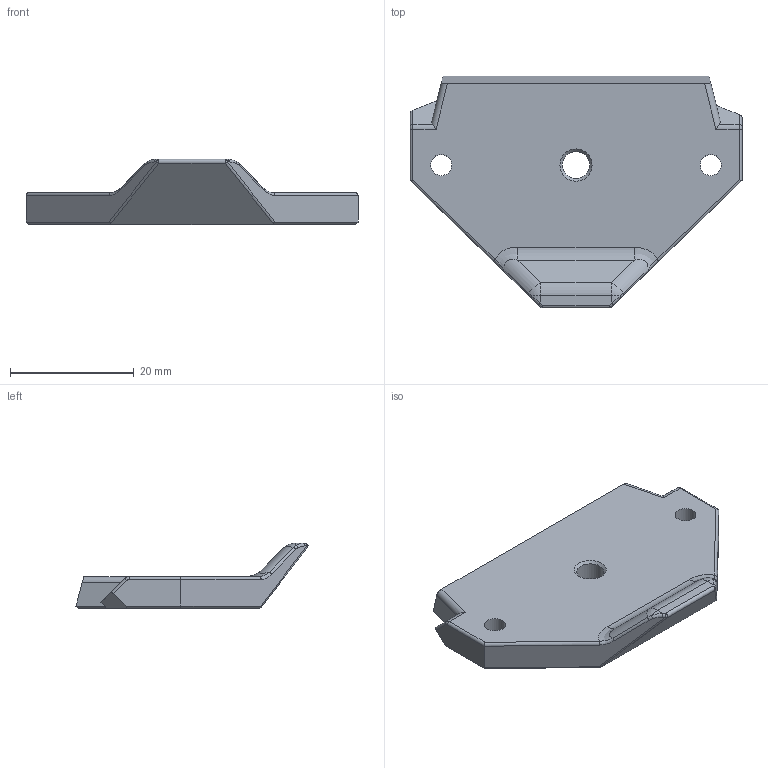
import cadquery as cq
import math

half_width = 26.795
plate_thickness = 5.2
total_height = 10.6
far = 60.0

shoulder_y = -2.55
diagonal_angle = 44.0
tip_y = -24.5

front_foot_y = -15.3
front_angle = 52.15

lip_foot_y = -14.48
lip_foot_half_width = 12.37
lip_radius = 3.0

back_foot_y = 14.5
back_lean = 15.0
wall_lean = 14.0
wall_foot_half_width = 23.4
wall_foot_y = 6.6
block_front_y = 0.0
notch_radius = 1.0

wing_slope_y = 11.43
wing_back_y = 10.6
undercut_skew = 0.8
undercut_left_y = 5.85
undercut_right_y = 4.5

top_edge_radius = 0.45
bottom_chamfer = 0.45

hole_pitch = 43.5
side_hole_diameter = 3.4
center_hole_diameter = 4.4
center_chamfer = 0.4

front_run = total_height / math.tan(math.radians(front_angle))


def profile_yz(points, half_length):
    """Prism along X, symmetric about X = 0, from (Y, Z) points."""
    return cq.Workplane("YZ").polyline(points).close().extrude(half_length, both=True)


def make_wing_prism():
    """Plan outline up to lip height, with the 45 degree wing slope and sloped front."""
    tip_half_width = half_width - (shoulder_y - tip_y) / math.tan(math.radians(diagonal_angle))
    outline = [
        (-half_width, far),
        (-half_width, shoulder_y),
        (-tip_half_width, tip_y),
        (tip_half_width, tip_y),
        (half_width, shoulder_y),
        (half_width, far),
    ]
    prism = cq.Workplane("XY").polyline(outline).close().extrude(total_height)
    prism = prism.faces("<Z").edges().chamfer(bottom_chamfer)
    side = [
        (wing_back_y, 0),
        (wing_back_y, wing_slope_y - wing_back_y),
        (wing_slope_y - total_height, total_height),
        (front_foot_y - front_run, total_height),
        (front_foot_y, 0),
    ]
    return prism.intersect(profile_yz(side, far))


def make_top_form():
    """Slab with its wing slope and the raised lip, all blends included."""
    slab = profile_yz(
        [
            (wing_slope_y, 0),
            (wing_slope_y - plate_thickness, plate_thickness),
            (-far, plate_thickness),
            (-far, 0),
        ],
        far,
    )
    rise = total_height - plate_thickness
    lip_slope = [
        (lip_foot_y, plate_thickness),
        (lip_foot_y - rise, total_height),
        (-far, total_height),
        (-far, plate_thickness),
    ]
    lip_section = [
        (-lip_foot_half_width, plate_thickness),
        (rise - lip_foot_half_width, total_height),
        (lip_foot_half_width - rise, total_height),
        (lip_foot_half_width, plate_thickness),
    ]
    flanks = cq.Workplane("XZ").polyline(lip_section).close().extrude(far)
    form = slab.union(profile_yz(lip_slope, far).intersect(flanks))
    lip_edges = cq.selectors.BoxSelector(
        (-lip_foot_half_width - 1, -far + 1, plate_thickness - 1),
        (lip_foot_half_width + 1, lip_foot_y + 1, total_height + 1),
    )
    form = form.edges(lip_edges).fillet(lip_radius)
    notch_edge = cq.NearestToPointSelector((0, wing_slope_y - plate_thickness, plate_thickness))
    return form.edges(notch_edge).fillet(notch_radius)


def undercut(side, foot_y):
    """Solid below and behind the skewed plane that trims a wing's back tip."""
    plane = cq.Plane(
        origin=(side * half_width, foot_y, 0),
        xDir=(0, 1, 1),
        normal=(side * undercut_skew, 1, -1),
    )
    return cq.Workplane(plane).rect(far, far).extrude(far)


def make_wing_body():
    """Wings, lip and front part of the plate with the outline edges broken."""
    body = make_wing_prism().intersect(make_top_form())
    lip_tip = cq.NearestToPointSelector((0, front_foot_y - front_run, total_height))
    above_foot = cq.selectors.BoxSelector((-far, -far, 1), (far, far, far))
    rim = body.faces("#Z").edges(above_foot).edges("not |Z").add(body.edges(lip_tip))
    body = body.newObject(rim.vals()).fillet(top_edge_radius)
    for side, foot_y in ((-1, undercut_left_y), (1, undercut_right_y)):
        body = body.cut(undercut(side, foot_y))
    return body


def make_back_block():
    """Trapezoidal block at the back with leaning back face and rounded wall tops."""
    spread = math.tan(math.radians(wall_lean))
    back_half_width = wall_foot_half_width - (back_foot_y - wall_foot_y) * spread
    front_half_width = wall_foot_half_width + (wall_foot_y - block_front_y) * spread
    outline = [
        (-back_half_width, back_foot_y),
        (-front_half_width, block_front_y),
        (front_half_width, block_front_y),
        (back_half_width, back_foot_y),
    ]
    block = cq.Workplane("XY").polyline(outline).close().extrude(plate_thickness)
    back_run = plate_thickness * math.tan(math.radians(back_lean))
    section = [
        (block_front_y, 0),
        (back_foot_y, 0),
        (back_foot_y - back_run, plate_thickness),
        (block_front_y, plate_thickness),
    ]
    block = block.intersect(profile_yz(section, far))
    block = block.faces("<Z").edges("not <Y").chamfer(bottom_chamfer)
    return block.faces(">Z").edges("not #Y").edges("not |X").fillet(notch_radius)


def drill_holes(body):
    """Side holes and the chamfered centre hole, all through the plate."""
    holes = (
        (-hole_pitch / 2, side_hole_diameter),
        (0, center_hole_diameter),
        (hole_pitch / 2, side_hole_diameter),
    )
    for x, diameter in holes:
        drill = cq.Workplane("XY").center(x, 0).circle(diameter / 2).extrude(plate_thickness)
        body = body.cut(drill)
    sink_radius = center_hole_diameter / 2 + center_chamfer
    sink = cq.Workplane("XY").workplane(offset=plate_thickness).circle(sink_radius)
    return body.cut(sink.extrude(-sink_radius, taper=45))


result = drill_holes(make_wing_body().union(make_back_block()))